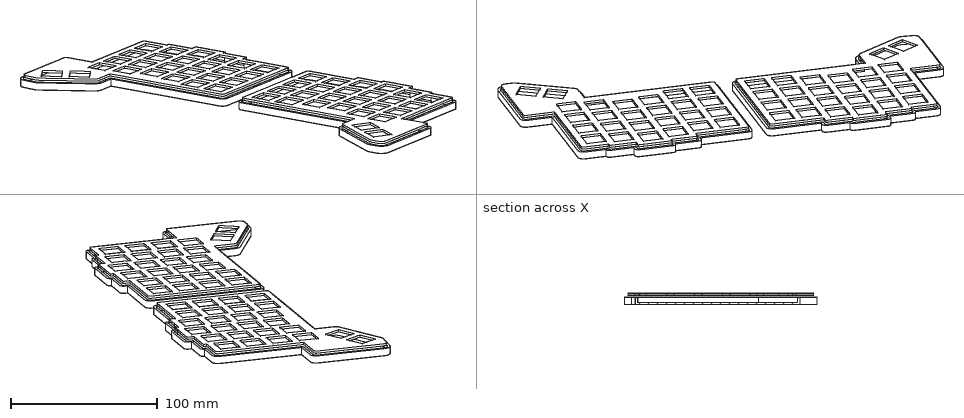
import cadquery as cq
import math

total_length = 302.0
total_height = 8.0

key_pitch = 19.0
cutout_size = 14.0
column_count = 6
row_count = 4
outer_column_x = -114.8
top_row_y = 44.0
column_stagger = [0, 2.5, 7.3, 4.8, 0, 0]
thumb_angle = 30
thumb_key_count = 2
thumb_key_x = -117.2
thumb_key_y = -37.0

rim_reach = 2.5
clearance = 0.5
case_height = 5.0
floor_thickness = 1.5

plate_thickness = 1.5
plate_bottom_z = total_height - plate_thickness
key_margin = 12.0
thumb_left_x = rim_reach - total_length / 2
thumb_top_y = -7.3
thumb_right_x = -100.3
left_thumb_corner_y = -60.5
left_thumb_toe_x = -135.7
right_thumb_bottom_y = -63.0
main_corner_radius = 1.5
thumb_corner_radius = 3.5

column_x = [outer_column_x + i * key_pitch for i in range(column_count)]
column_top_y = [top_row_y + stagger for stagger in column_stagger]
thumb_cos = math.cos(math.radians(thumb_angle))
thumb_sin = math.sin(math.radians(thumb_angle))

main_left_x = column_x[0] - key_margin
main_right_x = column_x[-1] + key_margin
main_top_y = top_row_y + key_margin
main_bottom_y = top_row_y - (row_count - 1) * key_pitch - key_margin

thumb_slope = math.tan(math.radians(thumb_angle))
slant_drop = key_margin / thumb_cos


def slant_y(x):
    """Height of the slanted thumb edge at x."""
    return thumb_key_y - slant_drop + (x - thumb_key_x) * thumb_slope


def slant_x(y):
    """Position along X where the slanted thumb edge reaches y."""
    return thumb_key_x + (y - thumb_key_y + slant_drop) / thumb_slope


def stepped_top():
    """Corners of the top edge from left to right; each step goes to the column that stands higher."""
    points = [(main_left_x, main_top_y)]
    for i in range(1, column_count):
        before = column_top_y[i - 1] + key_margin
        after = column_top_y[i] + key_margin
        if after > before:
            step_x = column_x[i] - key_margin
        else:
            step_x = column_x[i - 1] + key_margin
        if after != before:
            points += [(step_x, before), (step_x, after)]
    return points + [(main_right_x, main_top_y)]


def plate_blank(thumb_corner, thumb_toe):
    """Plate without cutouts; thumb_corner and thumb_toe are the ends of the thumb area's bottom edge."""
    thumb_top = (thumb_left_x, thumb_top_y)
    slant_start = (thumb_right_x, slant_y(thumb_right_x))
    bottom_right = (main_right_x, main_bottom_y)
    top_edge = stepped_top()
    outline = [thumb_corner, thumb_top, (main_left_x, thumb_top_y), *top_edge]
    outline += [bottom_right, (thumb_right_x, main_bottom_y), slant_start, thumb_toe]
    blank = cq.Workplane("XY").polyline(outline).close().extrude(plate_thickness)

    main_corners = [thumb_top, top_edge[0], top_edge[-1], bottom_right]
    thumb_corners = [thumb_corner, slant_start, thumb_toe]
    rounding = [(corner, main_corner_radius) for corner in main_corners]
    rounding += [(corner, thumb_corner_radius) for corner in thumb_corners]
    for (x, y), radius in rounding:
        corner_edge = cq.selectors.NearestToPointSelector((x, y, plate_thickness / 2))
        blank = blank.edges("|Z").edges(corner_edge).fillet(radius)
    return blank


def key_cutouts():
    """Square cutters for the column keys and the thumb keys."""
    column_keys = [
        (x, top_y - row * key_pitch)
        for x, top_y in zip(column_x, column_top_y)
        for row in range(row_count)
    ]
    thumb_keys = [
        (thumb_key_x - i * key_pitch * thumb_cos, thumb_key_y - i * key_pitch * thumb_sin)
        for i in range(thumb_key_count)
    ]
    column_cutters = cq.Sketch().push(column_keys).rect(cutout_size, cutout_size)
    thumb_cutters = cq.Sketch().push(thumb_keys).rect(cutout_size, cutout_size, angle=thumb_angle)
    return cq.Workplane("XY").placeSketch(column_cutters, thumb_cutters).extrude(plate_thickness)


def make_plate(blank):
    """Key plate, held level just above the rim of the case."""
    return blank.cut(key_cutouts()).translate((0, 0, plate_bottom_z))


def grown_slab(blank, growth, height):
    """Slab whose outline lies outside the plate outline by growth."""
    outline = blank.faces("<Z").wires().val()
    return cq.Workplane("XY").add(outline).toPending().offset2D(growth, "arc").extrude(height)


def make_case(blank):
    """Tray that follows the plate outline, open at the top."""
    cavity = grown_slab(blank, clearance, case_height).translate((0, 0, floor_thickness))
    return grown_slab(blank, rim_reach, case_height).cut(cavity)


left_thumb_toe = (left_thumb_toe_x, slant_y(left_thumb_toe_x))
left_blank = plate_blank((thumb_left_x, left_thumb_corner_y), left_thumb_toe)
left_case = make_case(left_blank)
left_plate = make_plate(left_blank)

right_thumb_toe = (slant_x(right_thumb_bottom_y), right_thumb_bottom_y)
right_blank = plate_blank((thumb_left_x, right_thumb_bottom_y), right_thumb_toe)
right_case = make_case(right_blank).mirror("YZ")
right_plate = make_plate(right_blank).mirror("YZ")

result = cq.Compound.makeCompound(
    [left_case.val(), left_plate.val(), right_case.val(), right_plate.val()]
)